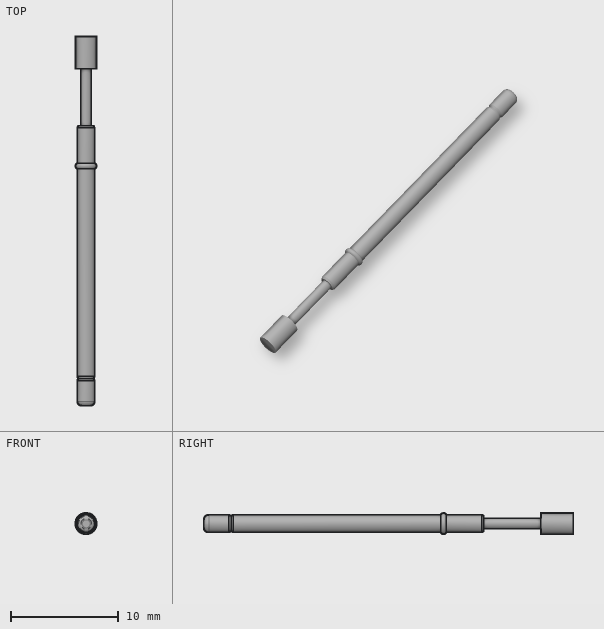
import cadquery as cq


total_length = 34.3
head_length = 3.02
barrel_length = 26.0
collar_center = 22.25
groove_center = 2.55

head_diameter = 2.0
plunger_diameter = 1.0
barrel_diameter = 1.65
collar_diameter = 2.0

tail_radius = 0.45
mouth_chamfer_length = 0.2
mouth_chamfer_height = 0.1
collar_radius = 0.27
groove_width = 0.4
groove_depth = 0.1

tail_y = -total_length / 2


def cylinder(diameter, start, length):
    """Solid cylinder on the Y axis; start is measured from the tail end."""
    disc = cq.Workplane("XZ", origin=(0, tail_y + start, 0)).circle(diameter / 2)
    return disc.extrude(-length)


def revolve_about_y(profile):
    return profile.revolve(360, (0, 0, 0), (0, 1, 0))


def make_barrel():
    """Tube with a rounded tail and a long shallow chamfer at the plunger end."""
    barrel = cylinder(barrel_diameter, 0, barrel_length)
    barrel = barrel.faces("<Y").edges().fillet(tail_radius)
    mouth_y = tail_y + barrel_length
    rim = barrel_diameter / 2
    chamfer_cutter = (
        cq.Workplane("XY")
        .moveTo(rim, mouth_y - mouth_chamfer_length)
        .lineTo(rim, mouth_y)
        .lineTo(rim - mouth_chamfer_height, mouth_y)
        .close()
    )
    return barrel.cut(revolve_about_y(chamfer_cutter))


def make_collar():
    """Bead of circular section, partly sunk in the barrel wall."""
    section_x = collar_diameter / 2 - collar_radius
    center_y = tail_y + collar_center
    profile = (
        cq.Workplane("XY")
        .moveTo(section_x, center_y - collar_radius)
        .threePointArc((section_x + collar_radius, center_y), (section_x, center_y + collar_radius))
        .close()
    )
    return revolve_about_y(profile)


def make_groove_cutter():
    """V-shaped ring around the barrel, with its point toward the axis."""
    rim = barrel_diameter / 2
    center_y = tail_y + groove_center
    profile = (
        cq.Workplane("XY")
        .moveTo(rim, center_y - groove_width / 2)
        .lineTo(rim - groove_depth, center_y)
        .lineTo(rim, center_y + groove_width / 2)
        .close()
    )
    return revolve_about_y(profile)


plunger_length = total_length - barrel_length
plunger = cylinder(plunger_diameter, barrel_length, plunger_length)
head = cylinder(head_diameter, total_length - head_length, head_length)

barrel = make_barrel().union(make_collar()).cut(make_groove_cutter())
result = barrel.union(plunger).union(head)